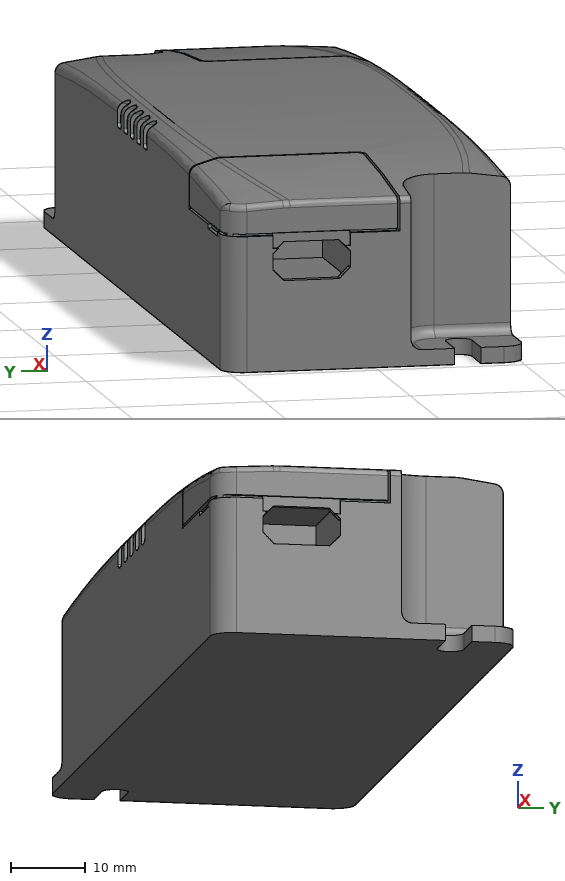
import cadquery as cq
import math

LENGTH = 116.1
WIDTH = 41.2
HEIGHT = 26.0
CORNER_RADIUS = 3.0
HALF_LENGTH = LENGTH / 2
HALF_WIDTH = WIDTH / 2
END_X = -HALF_LENGTH

CROWN_DROP = 3.0
EAVE_HEIGHT = 24.6
EAVE_DROP = 2.1
BEVEL_WIDTH = 2.4
BEVEL_GROWTH = 6.3
ROOF_INTERVALS = 10
EAVE_FILLET = 1.4
BLEND_REACH = 0.5
END_FILLET = 0.9

FOOT_LENGTH = 9.6
FOOT_INNER_Y = -4.9
FOOT_THICKNESS = 2.2
FOOT_CORNER_RADIUS = 5.2
FOOT_FLOOR_FILLET = 1.5
SLOT_WIDTH = 3.6
SLOT_LENGTH = 7.4
SLOT_Y = -12.7

SEAT_LENGTH = 22.4
SEAT_INNER_Y = -3.4
SEAT_HEIGHT = 18.5
SEAT_CORNER_RADIUS = 1.4
COVER_GAP = 0.3
REVEAL_DEPTH = 0.6

OPENING_Y = 8.7
OPENING_WIDTH = 10.6
OPENING_RIGHT = OPENING_Y - OPENING_WIDTH / 2
OPENING_LEFT = OPENING_Y + OPENING_WIDTH / 2
OPENING_FLOOR = 12.3
OPENING_TOP = 17.5
OPENING_CHAMFER = 1.5
END_WALL = 1.2
CAVITY_FLOOR = 12.1
CAVITY_LENGTH = 17.4
TAB_DROP = 1.7
TAB_SETBACK = 0.3

NOTCH_START = 4.6
NOTCH_LENGTH = 6.0
NOTCH_HEIGHT = 0.6
NOTCH_DEPTH = 0.6

VENT_COUNT = 5
VENT_PITCH = 4.1
VENT_WIDTH = 2.3
VENT_BOTTOM = 21.7
VENT_TOP = 25.4
VENT_CORNER_RADIUS = 0.6
VENT_RECESS = 0.5


def end_fall(x, fall_at_end):
    """Smooth fall at x: zero at mid length, growing with the cube of the distance from it."""
    return fall_at_end * (abs(x) / HALF_LENGTH) ** 3


def box_between(x0, x1, y0, y1, z0, z1):
    """Box between two opposite corners."""
    box = cq.Workplane("XY").box(x1 - x0, y1 - y0, z1 - z0, centered=False)
    return box.translate((x0, y0, z0))


def turned(shape):
    """The same shape at the opposite end, half a turn about Z."""
    return shape.rotate((0, 0, 0), (0, 0, 1), 180)


def roof_section(x):
    """Closed cross-section of the block at x, with the bevels blended into the flat top."""
    ridge = HEIGHT - end_fall(x, CROWN_DROP)
    eave = EAVE_HEIGHT - end_fall(x, EAVE_DROP)
    top_y = HALF_WIDTH - BEVEL_WIDTH - end_fall(x, BEVEL_GROWTH)
    slope = math.atan2(ridge - eave, HALF_WIDTH - top_y)
    blend_y = top_y + BLEND_REACH * math.cos(slope)
    blend_z = ridge - BLEND_REACH * math.sin(slope)
    flat_y = top_y - BLEND_REACH
    outline = (
        cq.Workplane("YZ", origin=(x, 0, 0))
        .moveTo(-HALF_WIDTH, 0)
        .lineTo(HALF_WIDTH, 0)
        .lineTo(HALF_WIDTH, eave)
        .lineTo(blend_y, blend_z)
        .tangentArcPoint((flat_y, ridge), relative=False)
        .lineTo(-flat_y, ridge)
        .tangentArcPoint((-blend_y, blend_z), relative=False)
        .lineTo(-HALF_WIDTH, eave)
        .close()
    )
    return outline.val()


def eave_edges(solid):
    """The two long edges between the sides and the bevels."""
    return [e for e in solid.Edges()
            if e.BoundingBox().xlen > HALF_LENGTH and e.Center().z > 0
            and abs(e.Center().y) > HALF_WIDTH - BEVEL_WIDTH / 2]


def end_top_edges(solid):
    """Edges that close the roof at both ends."""
    start = HALF_LENGTH - CORNER_RADIUS
    lowest = EAVE_HEIGHT - 2 * EAVE_DROP
    return [e for e in solid.Edges()
            if e.BoundingBox().zmin > lowest and abs(e.Center().x) > start
            and e.BoundingBox().xlen < LENGTH / 4]


def make_block():
    """The whole outer shape of the closed box, with its roof and corners rounded."""
    step = LENGTH / ROOF_INTERVALS
    sections = [roof_section(-HALF_LENGTH + i * step) for i in range(ROOF_INTERVALS + 1)]
    block = cq.Solid.makeLoft(sections)
    block = block.fillet(EAVE_FILLET, eave_edges(block))

    plan = cq.Workplane("XY").rect(LENGTH, WIDTH).extrude(HEIGHT).edges("|Z").fillet(CORNER_RADIUS)
    block = plan.intersect(cq.Workplane(obj=block)).val().Solids()[0]
    return cq.Workplane(obj=block.fillet(END_FILLET, end_top_edges(block)))


def make_foot_cutter():
    """Space above one mounting foot together with the screw slot through it."""
    inner_x = END_X + FOOT_LENGTH
    space = box_between(-LENGTH, inner_x, -WIDTH, FOOT_INNER_Y, FOOT_THICKNESS, 2 * HEIGHT)
    space = space.edges("|Z and >X and >Y").fillet(FOOT_CORNER_RADIUS)
    space = space.faces("<Z").edges().fillet(FOOT_FLOOR_FILLET)
    slot = (
        cq.Workplane("XY")
        .center(END_X, SLOT_Y)
        .slot2D(2 * SLOT_LENGTH, SLOT_WIDTH)
        .extrude(2 * FOOT_THICKNESS)
    )
    return space.union(slot)


def seat_space(clearance, z0):
    """Corner region above z0 taken by the cover at the -X end, smaller by the clearance."""
    inner_x = END_X + SEAT_LENGTH - clearance
    inner_y = SEAT_INNER_Y + clearance
    space = box_between(-LENGTH, inner_x, inner_y, WIDTH, z0, 2 * HEIGHT)
    return space.edges("|Z and >X and <Y").fillet(SEAT_CORNER_RADIUS - clearance)


def make_opening():
    """Cable opening with four chamfered corners, running through the end wall along X."""
    opening = box_between(END_X, END_X + END_WALL, OPENING_RIGHT, OPENING_LEFT,
                          OPENING_FLOOR, OPENING_TOP)
    return opening.edges("|X").chamfer(OPENING_CHAMFER)


def tab_space(setback, top):
    """Slot in the end wall around the top of the cable opening, set back from the end face."""
    return box_between(END_X + setback, END_X + END_WALL,
                       OPENING_RIGHT, OPENING_LEFT,
                       SEAT_HEIGHT - TAB_DROP, top)


def make_terminal_cutter():
    """Everything removed from the housing for the cover at the -X end."""
    seat = seat_space(0, SEAT_HEIGHT)
    cavity = box_between(END_X + END_WALL, END_X + CAVITY_LENGTH,
                         OPENING_RIGHT, OPENING_LEFT,
                         CAVITY_FLOOR, SEAT_HEIGHT)
    notch_x = END_X + NOTCH_START
    notch = box_between(notch_x, notch_x + NOTCH_LENGTH, HALF_WIDTH - NOTCH_DEPTH, WIDTH,
                        SEAT_HEIGHT - NOTCH_HEIGHT, SEAT_HEIGHT)
    return seat.union(cavity).union(notch).union(make_opening()).union(tab_space(0, SEAT_HEIGHT))


def make_vent_cutter(block):
    """Row of shallow recesses that follow the -Y side and its bevel."""
    centre_z = (VENT_BOTTOM + VENT_TOP) / 2
    start = -VENT_PITCH * (VENT_COUNT - 1) / 2
    slots = (
        cq.Workplane("XZ", origin=(0, 0, centre_z))
        .pushPoints([(start + i * VENT_PITCH, 0) for i in range(VENT_COUNT)])
        .rect(VENT_WIDTH, VENT_TOP - VENT_BOTTOM)
        .extrude(WIDTH)
        .edges("|Y")
        .fillet(VENT_CORNER_RADIUS)
    )
    return slots.cut(block.translate((0, VENT_RECESS, -VENT_RECESS)))


def make_housing(block):
    """Box with two mounting feet, two cover seats and the ventilation recesses."""
    housing = block
    for cutter in (make_foot_cutter(), make_terminal_cutter(), make_vent_cutter(block)):
        housing = housing.cut(cutter).cut(turned(cutter))
    return housing


def make_cover(block):
    """Terminal cover at the -X end, with its shadow line and the tab above the cable opening."""
    reveal_top = SEAT_HEIGHT + COVER_GAP
    cover = block.intersect(seat_space(COVER_GAP, SEAT_HEIGHT))
    reveal = box_between(-LENGTH, LENGTH, -WIDTH, WIDTH, 0, reveal_top)
    core = box_between(END_X + REVEAL_DEPTH, LENGTH, -WIDTH, HALF_WIDTH - REVEAL_DEPTH,
                       0, reveal_top)
    tab = tab_space(TAB_SETBACK, reveal_top).cut(make_opening())
    return cover.cut(reveal.cut(core)).union(tab)


block = make_block()
housing = make_housing(block)
first_cover = make_cover(block)
covers = [first_cover, turned(first_cover)]

result = cq.Compound.makeCompound([housing.val(), *[cover.val() for cover in covers]])